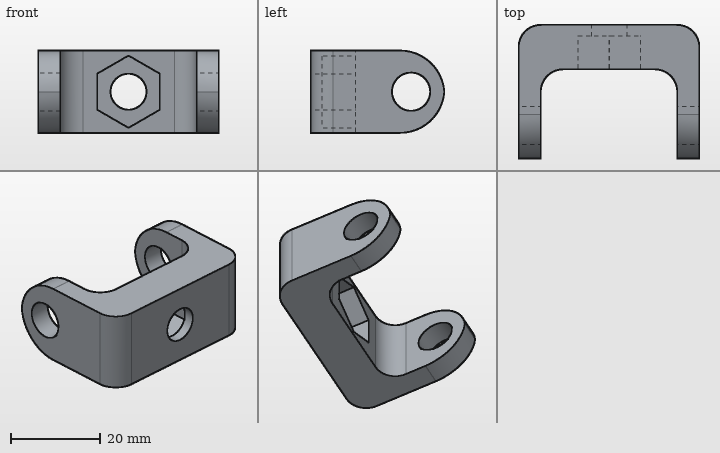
import cadquery as cq
import math

width = 40.5
height = 18.49
back_outer_y = 30.0
arm_thickness = 5.0
back_thickness = 10.0
corner_radius = 5.0

tip_radius = 10.0
pivot_hole_diameter = 8.5
pivot_y = 7.5

bolt_hole_diameter = 8.0
nut_across_flats = 14.0
nut_recess_depth = 7.5

back_inner_y = back_outer_y - back_thickness
gap_width = width - 2 * arm_thickness
arc_center_offset = tip_radius - height / 2
tip_y = tip_radius - math.sqrt(tip_radius**2 - arc_center_offset**2)


def fork_body():
    """U-shaped block with rounded vertical corners, open toward -Y."""
    block = (
        cq.Workplane("XY")
        .box(width, back_outer_y, height, centered=(True, False, True))
        .edges("|Z and >Y")
        .fillet(corner_radius)
    )
    gap = (
        cq.Workplane("XY")
        .box(gap_width, back_inner_y, height, centered=(True, False, True))
        .edges("|Z and >Y")
        .fillet(corner_radius)
    )
    return block.cut(gap)


def side_envelope():
    """Side outline across the full width; two equal arcs meet at the tip in a very slight point."""
    half_height = height / 2
    arc_sweep = math.acos(arc_center_offset / tip_radius)
    shoulder_y = tip_radius * (1 - math.sin(arc_sweep / 2))
    shoulder_z = tip_radius * math.cos(arc_sweep / 2) - arc_center_offset
    return (
        cq.Workplane("YZ", origin=(-width / 2, 0, 0))
        .moveTo(back_outer_y, -half_height)
        .lineTo(back_outer_y, half_height)
        .lineTo(tip_radius, half_height)
        .threePointArc((shoulder_y, shoulder_z), (tip_y, 0))
        .threePointArc((shoulder_y, -shoulder_z), (tip_radius, -half_height))
        .close()
        .extrude(width)
    )


def pivot_holes():
    """Cylinder along X that opens both arms."""
    return (
        cq.Workplane("YZ", origin=(-width / 2, pivot_y, 0))
        .circle(pivot_hole_diameter / 2)
        .extrude(width)
    )


def bolt_hole():
    """Cylinder along Y through the back wall."""
    return (
        cq.Workplane("XZ", origin=(0, back_outer_y, 0))
        .circle(bolt_hole_diameter / 2)
        .extrude(back_thickness)
    )


def nut_recess():
    """Hexagonal pocket in the inner face of the back wall, corners pointing up and down."""
    across_corners = nut_across_flats / math.cos(math.pi / 6)
    return (
        cq.Workplane("XZ", origin=(0, back_inner_y + nut_recess_depth, 0))
        .transformed(rotate=(0, 0, 90))
        .polygon(6, across_corners)
        .extrude(nut_recess_depth)
    )


result = (
    fork_body()
    .intersect(side_envelope())
    .cut(pivot_holes())
    .cut(bolt_hole())
    .cut(nut_recess())
)